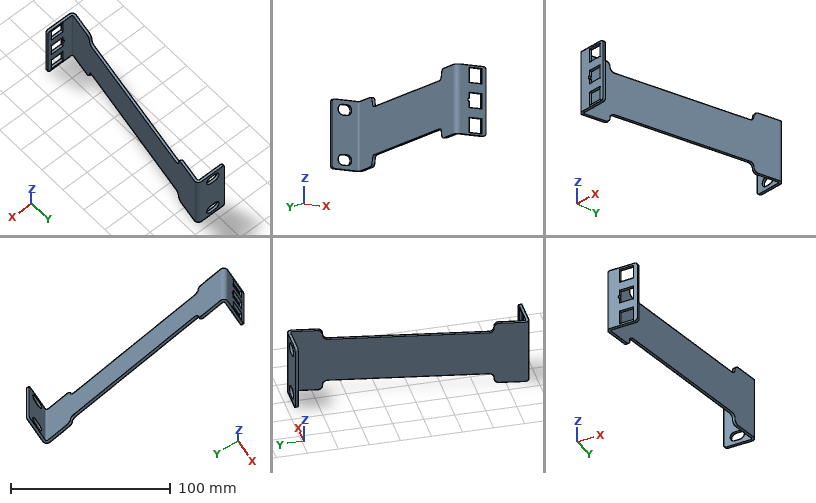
import cadquery as cq
import math

length = 150.0
width = 26.8
height = 44.2

thickness = 2.0
outer_bend = 3.0
mid_bend = outer_bend - thickness / 2
flange_width = 22.2
flange_corner = 2.1

waist_height = 30.6
tab_end = 22.0
shoulder_radius = 3.3

opening_offset = 14.4
opening_pitch = 15.9
square_side = 9.6
notch_radius = 1.0
slot_length = 10.0
slot_height = 6.8

bend_x = width / 2 - outer_bend
bend_y = length / 2 - outer_bend
wall_angle = math.atan2(bend_x, bend_y) + math.asin(mid_bend / math.hypot(bend_x, bend_y))
flange_end_x = flange_width - width / 2
opening_x = opening_offset - width / 2
cut_depth = 4 * thickness


def around_bend(radius, angle):
    """Point at a polar angle about the front bend axis."""
    return (-bend_x + radius * math.cos(angle), -bend_y + radius * math.sin(angle))


def half_turn(point):
    return (-point[0], -point[1])


def z_section():
    """Sheet section: front flange, leaning wall and rear flange joined by round bends."""
    inner_bend = outer_bend - thickness
    flange_tangent = 1.5 * math.pi
    wall_tangent = math.pi - wall_angle
    middle = (flange_tangent + wall_tangent) / 2
    outer = [around_bend(outer_bend, a) for a in (flange_tangent, middle, wall_tangent)]
    inner = [around_bend(inner_bend, a) for a in (wall_tangent, middle, flange_tangent)]
    front_outer = (flange_end_x, -length / 2)
    front_inner = (flange_end_x, -length / 2 + thickness)
    return (
        cq.Workplane("XY", origin=(0, 0, -height / 2))
        .moveTo(*front_outer)
        .lineTo(*outer[0])
        .threePointArc(outer[1], outer[2])
        .lineTo(*half_turn(inner[0]))
        .threePointArc(half_turn(inner[1]), half_turn(inner[2]))
        .lineTo(*half_turn(front_inner))
        .lineTo(*half_turn(front_outer))
        .lineTo(*half_turn(outer[0]))
        .threePointArc(half_turn(outer[1]), half_turn(outer[2]))
        .lineTo(*inner[0])
        .threePointArc(inner[1], inner[2])
        .lineTo(*front_inner)
        .close()
        .extrude(height)
    )


def waist_cutter(side):
    """Relief above or below the wall, with rounded tabs and rounded inner corners."""
    half_gap = (length / 2 - tab_end) / math.cos(wall_angle)
    edge = height / 2
    floor = waist_height / 2
    r = shoulder_radius
    outline = (
        cq.Workplane("YZ")
        .moveTo(-half_gap - r, edge)
        .radiusArc((-half_gap, edge - r), r)
        .lineTo(-half_gap, floor + r)
        .radiusArc((-half_gap + r, floor), -r)
        .lineTo(half_gap - r, floor)
        .radiusArc((half_gap, floor + r), -r)
        .lineTo(half_gap, edge - r)
        .radiusArc((half_gap + r, edge), r)
        .close()
    )
    cutter = outline.extrude(cut_depth / 2, both=True)
    if side < 0:
        cutter = cutter.mirror("XY")
    return cutter.rotate((0, 0, 0), (0, 0, 1), -math.degrees(wall_angle))


def front_openings():
    """Three square openings, the middle one with a round notch in its left edge."""
    plane = cq.Workplane("XZ", origin=(opening_x, -length / 2, 0))
    squares = (
        plane.pushPoints([(0, row * opening_pitch) for row in (-1, 0, 1)])
        .rect(square_side, square_side)
        .extrude(cut_depth / 2, both=True)
    )
    notch = (
        plane.center(-square_side / 2, 0)
        .circle(notch_radius)
        .extrude(cut_depth / 2, both=True)
    )
    return squares.union(notch)


def rear_slots():
    return (
        cq.Workplane("XZ", origin=(opening_x, length / 2, 0))
        .pushPoints([(0, row * opening_pitch) for row in (-1, 1)])
        .slot2D(slot_length, slot_height)
        .extrude(cut_depth / 2, both=True)
    )


result = z_section().edges("|Y").fillet(flange_corner)
for side in (-1, 1):
    result = result.cut(waist_cutter(side))
result = result.cut(front_openings()).cut(rear_slots())